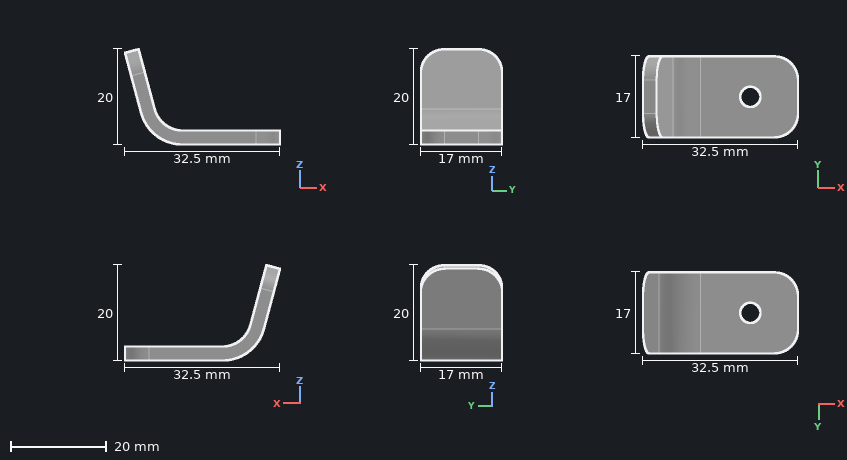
import cadquery as cq
import math

overall_length = 32.45
overall_height = 20.0
width = 17.0
thickness = 3.0
inner_bend_radius = 6.0
bend_angle = 75.0
corner_radius = 5.0
hole_diameter = 4.2
hole_to_end = 10.0

bend_rad = math.radians(bend_angle)
sine = math.sin(bend_rad)
cosine = math.cos(bend_rad)
outer_bend_radius = inner_bend_radius + thickness
flange_length = (overall_height - thickness - inner_bend_radius * (1 - cosine)) / sine
base_length = overall_length - outer_bend_radius * sine - flange_length * cosine
bend_center_z = outer_bend_radius


def on_bend(radius, angle):
    """XZ point on the bend, at an angle swept from the base."""
    return (-radius * math.sin(angle), bend_center_z - radius * math.cos(angle))


def flange_tip(radius):
    """XZ point at the free end of the flange, on the face tangent to the given radius."""
    x, z = on_bend(radius, bend_rad)
    return (x - flange_length * cosine, z + flange_length * sine)


def bent_strip():
    """Side profile of the bent plate, extruded evenly about the XZ plane."""
    return (
        cq.Workplane("XZ")
        .moveTo(base_length, 0)
        .lineTo(0, 0)
        .threePointArc(on_bend(outer_bend_radius, bend_rad / 2), on_bend(outer_bend_radius, bend_rad))
        .lineTo(*flange_tip(outer_bend_radius))
        .lineTo(*flange_tip(inner_bend_radius))
        .lineTo(*on_bend(inner_bend_radius, bend_rad))
        .threePointArc(on_bend(inner_bend_radius, bend_rad / 2), (0, thickness))
        .lineTo(base_length, thickness)
        .close()
        .extrude(width / 2, both=True)
    )


def mounting_hole():
    """Cylinder through the base leg."""
    return (
        cq.Workplane("XY")
        .center(base_length - hole_to_end, 0)
        .circle(hole_diameter / 2)
        .extrude(thickness)
    )


plate = bent_strip()
plate = plate.faces(">X").edges("|Z").fillet(corner_radius)
flange_normal = cq.Vector(sine, 0, cosine)
plate = plate.edges(cq.selectors.ParallelDirSelector(flange_normal)).edges("<X").fillet(corner_radius)

result = plate.cut(mounting_hole())